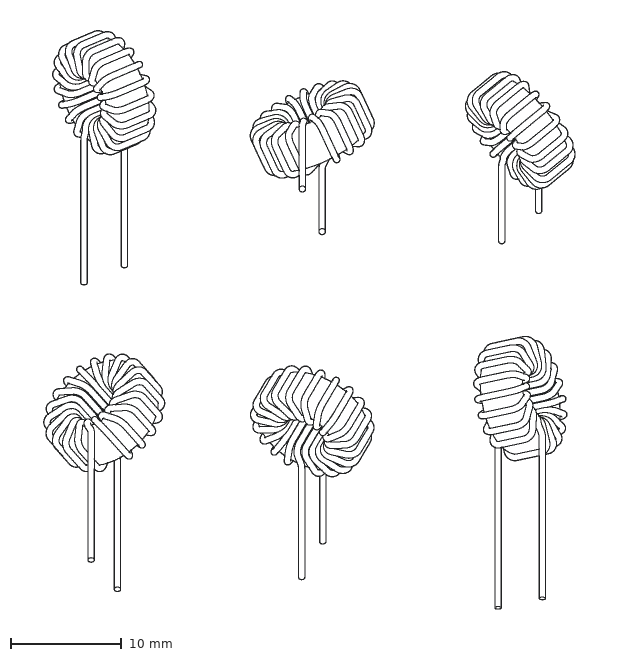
import cadquery as cq
import math

core_outer_diameter = 9.75
core_inner_diameter = 5.0
core_thickness = 3.47
core_fillet = 0.51
wire_diameter = 0.6
wire_clearance = 0.013
pitch_count = 20
lead_spread = 4.5
total_height = 25.7

wire_radius = wire_diameter / 2
wire_offset = wire_radius + wire_clearance
outer_radius = core_outer_diameter / 2 + wire_offset
bore_radius = core_inner_diameter / 2 - wire_offset
face_y = core_thickness / 2 + wire_offset
bend_radius = core_fillet + wire_offset
straight_y = face_y - bend_radius
lead_y = lead_spread / 2
lead_start_z = -(core_outer_diameter / 2 - core_fillet)
lead_tip_z = outer_radius + wire_radius - total_height

FRONT = -1
BACK = 1
DOWN = cq.Vector(0, 0, -1)


def make_core():
    """Toroidal core with its four circular edges rounded."""
    return (
        cq.Workplane("XZ", origin=(0, core_thickness / 2, 0))
        .circle(core_outer_diameter / 2)
        .circle(core_inner_diameter / 2)
        .extrude(core_thickness)
        .edges("%CIRCLE")
        .fillet(core_fillet)
    )


def ring_point(radius, step, y):
    """Point at a step around the ring; step 0 is at the bottom."""
    angle = math.radians(step * 360 / pitch_count - 90)
    return cq.Vector(radius * math.cos(angle), y, radius * math.sin(angle))


def bend_end(side, corner, direction):
    """Point on a core face where the bend at this corner ends."""
    return cq.Vector(corner.x, side * face_y, corner.z) + direction * bend_radius


def bend_points(side, corner, direction):
    """Start, middle and end of the quarter bend from a side wall onto a face."""
    start = cq.Vector(corner.x, side * straight_y, corner.z)
    along = direction * (bend_radius * (1 - math.cos(math.pi / 4)))
    outward = cq.Vector(0, side * bend_radius * math.sin(math.pi / 4), 0)
    return [start, start + along + outward, bend_end(side, corner, direction)]


def bend_onto_face(side, corner, direction):
    """Quarter bend followed from the side wall to the face, leaving it in the given direction."""
    return cq.Edge.makeThreePointArc(*bend_points(side, corner, direction))


def bend_off_face(side, corner, direction):
    """The same quarter bend, followed from the face to the side wall."""
    return cq.Edge.makeThreePointArc(*reversed(bend_points(side, corner, direction)))


def wall_run(radius, step, from_side):
    """Straight run along Y through the bore or over the rim."""
    return cq.Edge.makeLine(
        ring_point(radius, step, from_side * straight_y),
        ring_point(radius, step, -from_side * straight_y),
    )


def face_run(side, start_corner, end_corner):
    """Bend, straight run and bend that carry the wire across one face of the core."""
    direction = (end_corner - start_corner).normalized()
    return [
        bend_onto_face(side, start_corner, direction),
        cq.Edge.makeLine(
            bend_end(side, start_corner, direction),
            bend_end(side, end_corner, -direction),
        ),
        bend_off_face(side, end_corner, -direction),
    ]


def turn(step):
    """From the bore at the next step, across the back, over the rim and across the front to the bore."""
    next_bore = ring_point(bore_radius, step + 1, 0)
    rim = ring_point(outer_radius, step, 0)
    bore = ring_point(bore_radius, step, 0)
    return [
        *face_run(BACK, next_bore, rim),
        wall_run(outer_radius, step, BACK),
        *face_run(FRONT, rim, bore),
        wall_run(bore_radius, step, FRONT),
    ]


def front_lead():
    """From the tip of the front lead up to its bend into the bore."""
    corner = ring_point(bore_radius, 0, 0)
    tip = cq.Vector(0, FRONT * lead_y, lead_tip_z)
    top = cq.Vector(0, FRONT * lead_y, lead_start_z)
    joggle = cq.Edge.makeSpline([top, bend_end(FRONT, corner, DOWN)], tangents=[-DOWN, -DOWN])
    return [cq.Edge.makeLine(tip, top), joggle, bend_off_face(FRONT, corner, DOWN)]


def back_lead():
    """From the bend out of the bore down to the tip of the back lead."""
    corner = ring_point(bore_radius, 1, 0)
    direction = (ring_point(outer_radius, 0, 0) - corner).normalized()
    top = cq.Vector(0, BACK * lead_y, lead_start_z)
    tip = cq.Vector(0, BACK * lead_y, lead_tip_z)
    joggle = cq.Edge.makeSpline([bend_end(BACK, corner, direction), top], tangents=[direction, DOWN])
    return [bend_onto_face(BACK, corner, direction), joggle, cq.Edge.makeLine(top, tip)]


def make_winding():
    """One continuous round wire: lead, turns around the core, lead."""
    path = front_lead()
    path.append(wall_run(bore_radius, 0, FRONT))
    for step in range(pitch_count - 1, 0, -1):
        path.extend(turn(step))
    path.extend(back_lead())
    return (
        cq.Workplane("XY", origin=(0, FRONT * lead_y, lead_tip_z))
        .circle(wire_radius)
        .sweep(cq.Wire.assembleEdges(path))
    )


core = make_core()
winding = make_winding()

result = cq.Compound.makeCompound([core.val(), winding.val()])